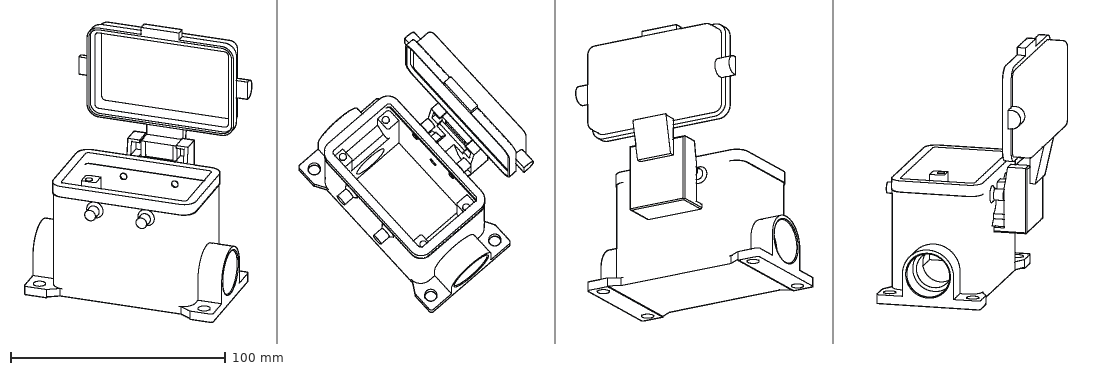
import cadquery as cq


OVERALL_DEPTH = 75.0

BASE_LENGTH = 93.5
BASE_WIDTH = 50.0
BASE_THICKNESS = 4.3
BASE_CORNER_RADIUS = 1.25
FOOT_INNER_X = 35.5
FOOT_TAPER_END_X = 30.0
BASE_RELIEF = 0.4
MOUNT_HOLE_DIAMETER = 5.7
MOUNT_HOLE_X = 40.8
MOUNT_HOLE_Y = 20.0

WALL_HALF_LENGTH = 35.0
WALL_FRONT_Y = -21.75
WALL_BACK_Y = 21.9
RIM_HALF_LENGTH = 35.4
RIM_HALF_WIDTH = 21.9
RIM_BOTTOM_Z = 51.3
RIM_TOP_Z = 56.75
BOX_CORNER_RADIUS = 6.0
CAVITY_HALF_LENGTH = 31.1
CAVITY_HALF_WIDTH = 17.75
CAVITY_CORNER_RADIUS = 1.5
CAVITY_FLOOR_Z = BASE_THICKNESS
BACK_STEP = 0.4

POST_INNER_X = 23.9
POST_INNER_Y = 10.9
POST_TOP_Z = 45.3
POST_EDGE_RADIUS = 1.0
POST_ROOT = 1.0
SCREW_HOLE_X = 28.2
SCREW_HOLE_Y = 13.4
SCREW_HOLE_DIAMETER = 3.3
SCREW_HOLE_DEPTH = 12.0
LEDGE_FLAT_Z = 28.0
LEDGE_PEAK_Z = 33.7
LEDGE_SLOPE_X = 27.1

ENTRY_AXIS_Z = 15.0
ENTRY_RADIUS = 12.35
ENTRY_BORE_RADIUS = 10.35
ENTRY_BORE_DEPTH = 11.3
ENTRY_CHAMFER = 0.45
PASSAGE_RADIUS = 8.55

PEG_X = 12.7
PEG_Z = 47.3
PEG_RADIUS = 2.65
PEG_FLARE_RADIUS = 4.05
PEG_FLARE_LENGTH = 1.4
PEG_ROOT = 1.0
PEG_TIP_FRONT_Y = -28.4
PEG_TIP_BACK_Y = 27.9
RIVET_DIAMETER = 3.2
RIVET_DEPTH = 0.6
BRACKET_HOLE_DIAMETER = 3.8
BRACKET_HOLE_Z = 36.5

BRACKET_FACE_Y = 28.3
BRACKET_TOP_Z = 50.9
BRACKET_BOTTOM_Z = 32.0
BRACKET_TOP_HALF = 2.9
BRACKET_WAIST_HALF = 5.2
BRACKET_WAIST_Z = 43.0
BRACKET_CURVE_MID = (6.5, 39.2)
BRACKET_SHOULDER_HALF = 9.8
BRACKET_SHOULDER_Z = 37.2
BRACKET_FOOT_Z = 34.8
BRACKET_FOOT_HALF = 12.5

HOOD_HALF_LENGTH = 14.95
HOOD_BACK_Y = 39.3
HOOD_TOP_Z = 61.3
HOOD_TOP_FRONT_Y = 30.0
HOOD_BOTTOM_Z = 29.7
HOOD_LIP_Y = 23.4
HOOD_EDGE_CHAMFER = 0.6
HOOD_CENTRE_HALF = 9.0
HOOD_CENTRE_TOP_Z = 60.3
HOOD_CENTRE_FRONT_Y = 31.5
HOOD_PANEL_HALF = 6.8
HOOD_PANEL_DEPTH = 0.7
HOOD_BEVEL_TOP_Z = 52.4
HOOD_LEDGE_Z = BRACKET_TOP_Z
CHEEK_WALL = 1.9
CHEEK_ROOF = 1.3
CHEEK_POCKET_BOTTOM_Z = 53.5
CHEEK_POCKET_BACK_Y = 36.0

LID_CENTRE_Z = 91.3
LID_FRONT_Y = 33.1
LID_RIM_BACK_Y = 37.3
LID_BACK_Y = PEG_TIP_FRONT_Y + OVERALL_DEPTH
LID_RIM_HALF_LENGTH = 36.3
LID_RIM_HALF_HEIGHT = 22.85
LID_RIM_RADIUS = 6.0
LID_BODY_HALF_LENGTH = 34.1
LID_BODY_HALF_HEIGHT = 20.8
LID_BODY_RADIUS = 4.0
LID_BACK_FILLET = 2.0
LID_SEAT_INSET = 0.95
LID_SEAT_DEPTH = 2.0
LID_CAVITY_HALF_LENGTH = 33.1
LID_CAVITY_HALF_HEIGHT = 19.35
LID_CAVITY_RADIUS = 2.0
LID_CAVITY_BACK_Y = 44.6
LID_TAB_HALF = 9.4
LID_TOP_Z = 117.75
LUG_HALF_SPAN = 41.8
LUG_RADIUS = 4.45
LUG_AXIS_Y = 38.9

ARM_HALF_WIDTH = 9.0
ARM_TOP_Z = 72.0
ARM_BOTTOM_Z = 52.6
ARM_TOP_BACK_Y = 46.2
ARM_BOTTOM_BACK_Y = 41.8

SIDES = (-1, 1)
CORNERS = [(x, y) for x in SIDES for y in SIDES]


def span_box(x0, x1, y0, y1, z0, z1):
    """Box between two opposite corners."""
    return cq.Workplane("XY").box(x1 - x0, y1 - y0, z1 - z0, centered=False).translate((x0, y0, z0))


def y_cylinder(x, z, radius, y0, y1):
    """Cylinder along +Y between two Y positions."""
    return cq.Workplane("XZ", origin=(x, y0, z)).circle(radius).extrude(y0 - y1)


def x_cylinder(y, z, radius, x0, x1):
    """Cylinder along X between two X positions."""
    return cq.Workplane("YZ", origin=(x0, y, z)).circle(radius).extrude(x1 - x0)


def side_profile(points, half_length):
    """Prism with a (Y, Z) outline, centred on X."""
    return cq.Workplane("YZ").polyline(points).close().extrude(half_length, both=True)


def make_base():
    half_l = BASE_LENGTH / 2
    half_w = BASE_WIDTH / 2
    base = span_box(-half_l, half_l, -half_w, half_w, 0, BASE_THICKNESS)
    base = base.edges("|Z").fillet(BASE_CORNER_RADIUS)
    for wall_y, edge_y in ((WALL_FRONT_Y, -half_w), (WALL_BACK_Y, half_w)):
        notch = [
            (-FOOT_INNER_X, edge_y),
            (-FOOT_TAPER_END_X, wall_y),
            (FOOT_TAPER_END_X, wall_y),
            (FOOT_INNER_X, edge_y),
        ]
        base = base.cut(cq.Workplane("XY").polyline(notch).close().extrude(BASE_THICKNESS))
    relief = span_box(-FOOT_INNER_X, FOOT_INNER_X, -half_w, half_w, 0, BASE_RELIEF)
    holes = [(x * MOUNT_HOLE_X, y * MOUNT_HOLE_Y) for x, y in CORNERS]
    drills = cq.Workplane("XY").pushPoints(holes).circle(MOUNT_HOLE_DIAMETER / 2).extrude(BASE_THICKNESS)
    return base.cut(relief).cut(drills)


def make_shell():
    walls = span_box(
        -WALL_HALF_LENGTH, WALL_HALF_LENGTH, WALL_FRONT_Y, WALL_BACK_Y, BASE_RELIEF, RIM_TOP_Z
    )
    rim = span_box(
        -RIM_HALF_LENGTH, RIM_HALF_LENGTH, -RIM_HALF_WIDTH, RIM_HALF_WIDTH, RIM_BOTTOM_Z, RIM_TOP_Z
    )
    walls = walls.edges("|Z").fillet(BOX_CORNER_RADIUS)
    rim = rim.edges("|Z").fillet(BOX_CORNER_RADIUS)
    return walls.union(rim)


def make_entry(side):
    """Round-topped sleeve that runs down to the base at one end."""
    start_x = side * CAVITY_HALF_LENGTH
    end_x = side * BASE_LENGTH / 2
    sleeve = x_cylinder(0, ENTRY_AXIS_Z, ENTRY_RADIUS, start_x, end_x)
    foot = span_box(
        min(start_x, end_x), max(start_x, end_x), -ENTRY_RADIUS, ENTRY_RADIUS, BASE_RELIEF, ENTRY_AXIS_Z
    )
    return sleeve.union(foot)


def make_entry_bore(side):
    """Stepped bore from the chamfered sleeve mouth into the cavity, revolved about its axis."""
    mouth_x = BASE_LENGTH / 2
    step_x = mouth_x - ENTRY_BORE_DEPTH
    outline = [
        (POST_INNER_X, 0),
        (POST_INNER_X, PASSAGE_RADIUS),
        (step_x, PASSAGE_RADIUS),
        (step_x, ENTRY_BORE_RADIUS),
        (mouth_x - ENTRY_CHAMFER, ENTRY_BORE_RADIUS),
        (mouth_x, ENTRY_BORE_RADIUS + ENTRY_CHAMFER),
        (mouth_x, 0),
    ]
    bore = cq.Workplane("XY").polyline(outline).close().revolve(360, (0, 0, 0), (1, 0, 0))
    if side < 0:
        bore = bore.mirror("YZ")
    return bore.translate((0, 0, ENTRY_AXIS_Z))


def make_cavity():
    cavity = span_box(
        -CAVITY_HALF_LENGTH, CAVITY_HALF_LENGTH, -CAVITY_HALF_WIDTH, CAVITY_HALF_WIDTH,
        CAVITY_FLOOR_Z, RIM_TOP_Z,
    )
    mouth = span_box(
        -CAVITY_HALF_LENGTH, CAVITY_HALF_LENGTH, -CAVITY_HALF_WIDTH, CAVITY_HALF_WIDTH + BACK_STEP,
        RIM_BOTTOM_Z, RIM_TOP_Z,
    )
    cavity = cavity.edges("|Z").fillet(CAVITY_CORNER_RADIUS)
    mouth = mouth.edges("|Z").fillet(CAVITY_CORNER_RADIUS)
    return cavity.union(mouth)


def make_post(x_side, y_side):
    """Corner post with a blind screw hole, reaching slightly into the walls."""
    length = CAVITY_HALF_LENGTH + POST_ROOT - POST_INNER_X
    width = CAVITY_HALF_WIDTH + POST_ROOT - POST_INNER_Y
    post = span_box(0, length, 0, width, CAVITY_FLOOR_Z, POST_TOP_Z)
    post = post.translate((POST_INNER_X, POST_INNER_Y, 0))
    post = post.edges("|Z and <X and <Y").fillet(POST_EDGE_RADIUS)
    radius = SCREW_HOLE_DIAMETER / 2
    bottom_z = POST_TOP_Z - SCREW_HOLE_DEPTH
    drill = [(0, POST_TOP_Z), (radius, POST_TOP_Z), (radius, bottom_z), (0, bottom_z - radius)]
    hole = cq.Workplane("XZ").polyline(drill).close().revolve(360, (0, 0, 0), (0, 1, 0))
    post = post.cut(hole.translate((SCREW_HOLE_X, SCREW_HOLE_Y, 0)))
    if x_side < 0:
        post = post.mirror("YZ")
    if y_side < 0:
        post = post.mirror("XZ")
    return post


def make_ledge(side):
    """Filled end of the cavity between two posts, sloping up to the end wall."""
    outline = [
        (side * POST_INNER_X, CAVITY_FLOOR_Z),
        (side * POST_INNER_X, LEDGE_FLAT_Z),
        (side * LEDGE_SLOPE_X, LEDGE_FLAT_Z),
        (side * CAVITY_HALF_LENGTH, LEDGE_PEAK_Z),
        (side * CAVITY_HALF_LENGTH, CAVITY_FLOOR_Z),
    ]
    return cq.Workplane("XZ").polyline(outline).close().extrude(POST_INNER_Y + POST_EDGE_RADIUS, both=True)


def make_peg(x, wall_y, tip_y):
    """Peg with a conical flare at the wall, revolved about its own axis."""
    out = 1 if tip_y > wall_y else -1
    root_y = wall_y - out * PEG_ROOT
    flare_y = wall_y + out * PEG_FLARE_LENGTH
    outline = [
        (0, root_y),
        (PEG_FLARE_RADIUS, root_y),
        (PEG_FLARE_RADIUS, wall_y),
        (PEG_RADIUS, flare_y),
        (PEG_RADIUS, tip_y),
        (0, tip_y),
    ]
    peg = cq.Workplane("XY").polyline(outline).close().revolve(360, (0, 0, 0), (0, 1, 0))
    return peg.translate((x, 0, PEG_Z))


def make_wall_holes():
    """Shallow blind holes in the inner face of the back wall."""
    depth_y = CAVITY_HALF_WIDTH + RIVET_DEPTH
    holes = y_cylinder(0, BRACKET_HOLE_Z, BRACKET_HOLE_DIAMETER / 2, CAVITY_HALF_WIDTH, depth_y)
    for side in SIDES:
        rivet = y_cylinder(side * PEG_X, PEG_Z, RIVET_DIAMETER / 2, CAVITY_HALF_WIDTH, depth_y)
        holes = holes.union(rivet)
    return holes


def make_bracket():
    """Bell-shaped block, level with the hood ledge, that joins the hood to the back wall."""
    half = (
        cq.Workplane("XZ", origin=(0, WALL_BACK_Y, 0))
        .moveTo(0, BRACKET_TOP_Z)
        .lineTo(BRACKET_TOP_HALF, BRACKET_TOP_Z)
        .lineTo(BRACKET_WAIST_HALF, BRACKET_WAIST_Z)
        .threePointArc(BRACKET_CURVE_MID, (BRACKET_SHOULDER_HALF, BRACKET_SHOULDER_Z))
        .lineTo(BRACKET_SHOULDER_HALF, BRACKET_FOOT_Z)
        .lineTo(BRACKET_FOOT_HALF, BRACKET_BOTTOM_Z)
        .lineTo(0, BRACKET_BOTTOM_Z)
        .close()
        .extrude(WALL_BACK_Y - BRACKET_FACE_Y)
    )
    return half.union(half.mirror("YZ"))


def make_hood():
    hood = side_profile(
        [
            (HOOD_BACK_Y, HOOD_BOTTOM_Z),
            (HOOD_LIP_Y, HOOD_BOTTOM_Z),
            (HOOD_LIP_Y, BRACKET_BOTTOM_Z),
            (BRACKET_FACE_Y, BRACKET_BOTTOM_Z),
            (BRACKET_FACE_Y, BRACKET_TOP_Z),
            (HOOD_TOP_FRONT_Y, HOOD_TOP_Z),
            (HOOD_BACK_Y, HOOD_TOP_Z),
        ],
        HOOD_HALF_LENGTH,
    )
    hood = hood.faces(">Y").edges().chamfer(HOOD_EDGE_CHAMFER)
    hood = hood.faces("<Z").edges("|Y").chamfer(HOOD_EDGE_CHAMFER)

    above_middle = span_box(
        -HOOD_CENTRE_HALF, HOOD_CENTRE_HALF, HOOD_LIP_Y, HOOD_BACK_Y, HOOD_CENTRE_TOP_Z, HOOD_TOP_Z
    )
    front_gap = [
        (BRACKET_FACE_Y, HOOD_LEDGE_Z),
        (HOOD_TOP_FRONT_Y, HOOD_LEDGE_Z),
        (HOOD_CENTRE_FRONT_Y, HOOD_BEVEL_TOP_Z),
        (HOOD_CENTRE_FRONT_Y, HOOD_CENTRE_TOP_Z),
        (BRACKET_FACE_Y, HOOD_CENTRE_TOP_Z),
    ]
    before_middle = side_profile(front_gap, HOOD_CENTRE_HALF)
    undercut = [
        (HOOD_CENTRE_FRONT_Y, HOOD_CENTRE_TOP_Z),
        (HOOD_CENTRE_FRONT_Y, HOOD_BEVEL_TOP_Z),
        (HOOD_CENTRE_FRONT_Y + HOOD_PANEL_DEPTH, HOOD_BEVEL_TOP_Z),
    ]
    panel = side_profile(undercut, HOOD_PANEL_HALF)
    hood = hood.cut(above_middle).cut(before_middle).cut(panel)

    for side in SIDES:
        inner_x = side * HOOD_CENTRE_HALF
        outer_x = side * (HOOD_HALF_LENGTH - CHEEK_WALL)
        pocket = span_box(
            min(inner_x, outer_x), max(inner_x, outer_x), BRACKET_FACE_Y, CHEEK_POCKET_BACK_Y,
            CHEEK_POCKET_BOTTOM_Z, HOOD_TOP_Z - CHEEK_ROOF,
        )
        hood = hood.cut(pocket)
    return hood


def lid_slab(half_length, half_height, radius, y0, y1):
    """Upright rounded plate centred on the lid."""
    slab = span_box(
        -half_length, half_length, y0, y1, LID_CENTRE_Z - half_height, LID_CENTRE_Z + half_height
    )
    return slab.edges("|Y").fillet(radius)


def make_lug(side):
    """D-shaped lug on one end of the lid."""
    end_x = side * LUG_HALF_SPAN
    root_x = side * (LID_BODY_HALF_LENGTH + LID_CAVITY_HALF_LENGTH) / 2
    lug = x_cylinder(LUG_AXIS_Y, LID_CENTRE_Z, LUG_RADIUS, root_x, end_x)
    flat = span_box(
        min(root_x, end_x), max(root_x, end_x), LID_RIM_BACK_Y, LUG_AXIS_Y,
        LID_CENTRE_Z - LUG_RADIUS, LID_CENTRE_Z + LUG_RADIUS,
    )
    front = span_box(
        -LUG_HALF_SPAN, LUG_HALF_SPAN, LID_FRONT_Y, LID_RIM_BACK_Y,
        LID_CENTRE_Z - LUG_RADIUS, LID_CENTRE_Z + LUG_RADIUS,
    )
    return lug.union(flat).cut(front)


def make_lid():
    rim = lid_slab(LID_RIM_HALF_LENGTH, LID_RIM_HALF_HEIGHT, LID_RIM_RADIUS, LID_FRONT_Y, LID_RIM_BACK_Y)
    body = lid_slab(LID_BODY_HALF_LENGTH, LID_BODY_HALF_HEIGHT, LID_BODY_RADIUS, LID_FRONT_Y, LID_BACK_Y)
    body = body.faces(">Y").edges().fillet(LID_BACK_FILLET)
    tab = span_box(-LID_TAB_HALF, LID_TAB_HALF, LID_FRONT_Y, LID_RIM_BACK_Y, LID_CENTRE_Z, LID_TOP_Z)
    arm = side_profile(
        [
            (HOOD_BACK_Y, ARM_TOP_Z),
            (HOOD_BACK_Y, ARM_BOTTOM_Z),
            (ARM_BOTTOM_BACK_Y, ARM_BOTTOM_Z),
            (ARM_TOP_BACK_Y, ARM_TOP_Z),
        ],
        ARM_HALF_WIDTH,
    )
    seat = lid_slab(
        LID_RIM_HALF_LENGTH - LID_SEAT_INSET, LID_RIM_HALF_HEIGHT - LID_SEAT_INSET,
        LID_RIM_RADIUS - LID_SEAT_INSET, LID_FRONT_Y, LID_FRONT_Y + LID_SEAT_DEPTH,
    )
    cavity = lid_slab(
        LID_CAVITY_HALF_LENGTH, LID_CAVITY_HALF_HEIGHT, LID_CAVITY_RADIUS, LID_FRONT_Y, LID_CAVITY_BACK_Y
    )
    lid = rim.union(body).union(tab).union(arm).cut(seat).cut(cavity)
    for side in SIDES:
        lid = lid.union(make_lug(side))
    return lid


def make_housing():
    housing = make_base().union(make_shell())
    for side in SIDES:
        housing = housing.union(make_entry(side))
        housing = housing.union(make_peg(side * PEG_X, WALL_FRONT_Y, PEG_TIP_FRONT_Y))
        housing = housing.union(make_peg(side * PEG_X, WALL_BACK_Y, PEG_TIP_BACK_Y))
    housing = housing.cut(make_cavity())
    for x_side, y_side in CORNERS:
        housing = housing.union(make_post(x_side, y_side))
    for side in SIDES:
        housing = housing.union(make_ledge(side)).cut(make_entry_bore(side))
    return housing.cut(make_wall_holes())


result = make_housing().union(make_bracket()).union(make_hood()).union(make_lid())